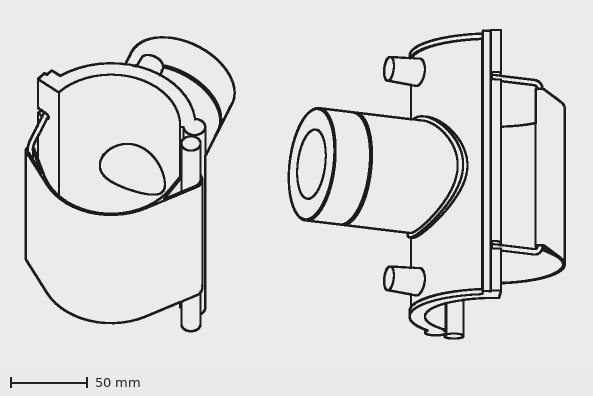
import cadquery as cq
import math

saddle_length = 176.0
bore_radius = 45.0
body_radius = 54.1
rim_radius = 55.0
rim_width = 3.5
saddle_end_angle = 20.0

block_reach = 61.0
block_height = 11.6
lip_reach = 63.0
lip_height = 6.7

strap_width = 105.5
strap_thickness = 1.15
strap_outer_radius = bore_radius + strap_thickness

branch_radius = 36.8
overall_depth = 176.3
branch_end = overall_depth - strap_outer_radius
branch_bore_radius = 45.3 / 2
branch_chamfer = 0.7
groove_radius = 36.3
groove_width = 1.2
groove_y = 104.2
collar_radius = 39.7
collar_surface_radius = 56.2

post_z = 70.7
post_tip_y = 75.0
post_tip_radius = 15.7 / 2
post_base_y = 52.9
post_base_radius = 18.2 / 2

bulb_center = (51.0, 18.5)
bulb_radius = 7.0
pin_center = (54.0, 4.2)
pin_radius = 12.5 / 2

wire_radius = 1.8
wire_center = (-52.9, -9.0)
wire_leg_z = 57.1
wire_bend_radius = 4.2
wire_end_y = 26.3
slot_radius = 2.5
lip_gap_x = -55.2
lip_gap_y = 28.2



def polar(radius, angle, center=(0, 0)):
    return (center[0] + radius * math.cos(angle), center[1] + radius * math.sin(angle))


def cylinder_z(radius, length, center=(0, 0)):
    return cq.Workplane("XY").center(*center).circle(radius).extrude(length / 2, both=True)


def cylinder_y(radius, y_start, y_end):
    return cq.Workplane("XZ", origin=(0, y_start, 0)).circle(radius).extrude(y_start - y_end)


def sector(start_angle, end_angle, length):
    """Wedge about the Z axis, wide enough to hold the whole saddle or strap."""
    reach = 2 * lip_reach
    middle = (start_angle + end_angle) / 2
    return (
        cq.Workplane("XY")
        .polyline([(0, 0), polar(reach, start_angle), polar(reach, middle), polar(reach, end_angle)])
        .close()
        .extrude(length / 2, both=True)
    )


def make_saddle_shell():
    shell = cylinder_z(body_radius, saddle_length)
    for side in (-1, 1):
        rim_z = side * (saddle_length - rim_width) / 2
        shell = shell.union(cylinder_z(rim_radius, rim_width).translate((0, 0, rim_z)))
    end = math.radians(saddle_end_angle)
    return shell.intersect(sector(end, math.pi - end, saddle_length))


def make_block():
    start = (bore_radius + body_radius) / 2
    profile = [
        (bore_radius, 0),
        (lip_reach, 0),
        (lip_reach, lip_height),
        (block_reach, lip_height),
        (block_reach, block_height),
        (start, block_height),
    ]
    block = cq.Workplane("XY").polyline(profile).close().extrude(saddle_length / 2, both=True)
    return block.mirror("YZ").rotate((0, 0, 0), (0, 0, 1), -saddle_end_angle)


def make_bail_slots():
    """Round-bottomed slots for the wire legs, open toward -X and -Y."""
    slots = cq.Workplane("XY")
    for side in (-1, 1):
        round_end = cylinder_y(slot_radius, 0, wire_end_y).translate((wire_center[0], 0, 0))
        opening = cq.Workplane("XY").box(lip_reach, wire_end_y, 2 * slot_radius, centered=(False, False, True))
        slot = round_end.union(opening.translate((wire_center[0] - lip_reach, 0, 0)))
        lip_gap = cq.Workplane("XY").box(lip_reach, lip_gap_y, 2 * slot_radius, centered=(False, False, True))
        slot = slot.union(lip_gap.translate((lip_gap_x - lip_reach, 0, 0)))
        slots = slots.add(slot.translate((0, 0, side * wire_leg_z)))
    return slots.combine()


def make_branch():
    pipe = cylinder_y(branch_radius, 0, branch_end).faces(">Y").chamfer(branch_chamfer)
    groove_start = groove_y - groove_width / 2
    groove_end = groove_y + groove_width / 2
    groove = cylinder_y(collar_radius, groove_start, groove_end)
    groove = groove.cut(cylinder_y(groove_radius, groove_start, groove_end))
    collar = cylinder_y(collar_radius, 0, branch_end)
    collar = collar.intersect(cylinder_z(collar_surface_radius, saddle_length))
    return pipe.cut(groove).union(collar)


def make_post(z):
    return (
        cq.Workplane("XZ", origin=(0, post_base_y, z))
        .circle(post_base_radius)
        .workplane(offset=post_base_y - post_tip_y)
        .circle(post_tip_radius)
        .loft(ruled=True)
    )


def tangent_angles(center, loop_radius, inner_radius, outer_radius):
    """Normal directions of the two strap legs joining the pipe circle to a loop.

    The inner leg crosses between the circles; the outer leg runs outside both.
    """
    distance = math.hypot(*center)
    direction = math.atan2(center[1], center[0])
    turn = -1 if center[0] > 0 else 1
    inner = direction + turn * math.acos((inner_radius + loop_radius) / distance)
    outer = direction + turn * math.acos((outer_radius - loop_radius) / distance)
    return inner, outer


def extrude_loop(center, loop_radius, angles, leg_ends):
    """Area enclosed by the two legs, the arc over the top of the loop and the leg ends."""
    inner, outer = angles
    return (
        cq.Workplane("XY", origin=(0, 0, -strap_width / 2))
        .moveTo(*leg_ends[0])
        .lineTo(*polar(loop_radius, inner + math.pi, center))
        .threePointArc(polar(loop_radius, math.pi / 2, center), polar(loop_radius, outer, center))
        .lineTo(*leg_ends[-1])
        .close()
        .extrude(strap_width)
    )


def leg_crossing(angles, inner_radius, outer_radius):
    """Point where the two tangent lines with the given normals and radii meet."""
    inner, outer = angles
    spread = math.sin(outer - inner)
    x = (inner_radius * math.sin(outer) - outer_radius * math.sin(inner)) / spread
    y = (outer_radius * math.cos(inner) - inner_radius * math.cos(outer)) / spread
    return x, y


def make_strap_loop(center, core_radius):
    loop_radius = core_radius + strap_thickness
    angles = tangent_angles(center, loop_radius, bore_radius, strap_outer_radius)
    inner_end = polar(bore_radius, angles[0])
    outer_end = polar(strap_outer_radius, angles[1])
    tip = leg_crossing(angles, strap_outer_radius, bore_radius)
    loop = extrude_loop(center, loop_radius, angles, [inner_end, outer_end])
    window = extrude_loop(center, core_radius, angles, [tip])
    return loop.cut(window).cut(cylinder_z(bore_radius, strap_width))


def make_strap():
    left_loop = (wire_center, wire_radius)
    right_loop = (pin_center, pin_radius)
    ends = []
    for center, core_radius in (left_loop, right_loop):
        loop_radius = core_radius + strap_thickness
        ends.append(tangent_angles(center, loop_radius, bore_radius, strap_outer_radius)[0])
    band = cylinder_z(strap_outer_radius, strap_width).cut(cylinder_z(bore_radius, strap_width))
    band = band.intersect(sector(ends[0], ends[1], strap_width))
    return band.union(make_strap_loop(*left_loop)).union(make_strap_loop(*right_loop))


def make_bail():
    x, y = wire_center
    bend_y = y + wire_bend_radius
    bend_z = wire_leg_z - wire_bend_radius
    mid_y = bend_y - wire_bend_radius * math.sqrt(0.5)
    mid_z = bend_z + wire_bend_radius * math.sqrt(0.5)
    path = (
        cq.Workplane("YZ", origin=(x, 0, 0))
        .moveTo(wire_end_y, wire_leg_z)
        .lineTo(bend_y, wire_leg_z)
        .threePointArc((mid_y, mid_z), (y, bend_z))
        .lineTo(y, -bend_z)
        .threePointArc((mid_y, -mid_z), (bend_y, -wire_leg_z))
        .lineTo(wire_end_y, -wire_leg_z)
    )
    return cq.Workplane("XZ", origin=(x, wire_end_y, wire_leg_z)).circle(wire_radius).sweep(path)


body = make_saddle_shell().union(make_branch())
for side in (-1, 1):
    body = body.union(make_post(side * post_z))
body = body.union(make_block()).union(cylinder_z(bulb_radius, saddle_length, bulb_center))
body = body.cut(cylinder_z(bore_radius, saddle_length))
body = body.cut(cylinder_y(branch_bore_radius, 0, branch_end)).cut(make_bail_slots())

pin = cylinder_z(pin_radius, saddle_length, pin_center)
result = body.union(make_strap()).union(pin).union(make_bail())